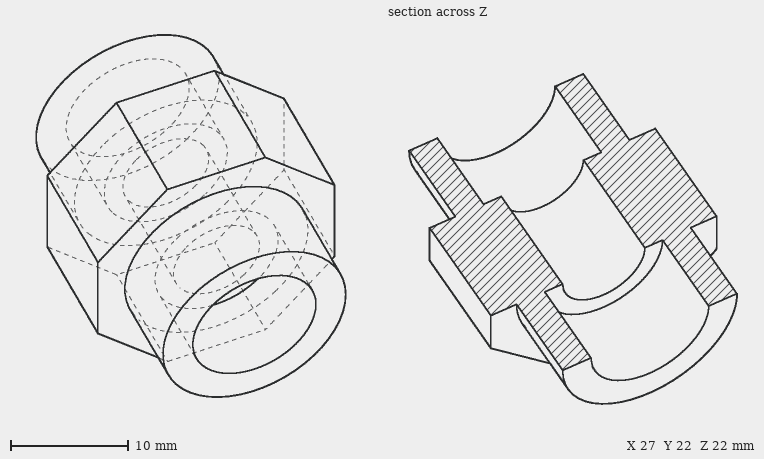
import cadquery as cq
import math

total_length = 27.0
nut_length = 10.8
nut_across_flats = 22.0
sleeve_diameter = 17.0
socket_diameter = 11.45
socket_depth = 8.1
bore_diameter = 8.0

NUT_SIDES = 8
nut_across_corners = nut_across_flats / math.cos(math.pi / NUT_SIDES)
flat_alignment_angle = 180 / NUT_SIDES


def cylinder_along_x(diameter, start_x, length):
    """Solid cylinder on the X axis, starting at start_x."""
    return cq.Workplane("YZ", origin=(start_x, 0, 0)).circle(diameter / 2).extrude(length)


def octagonal_nut():
    """Centred octagonal prism with flats facing Y and Z."""
    return (
        cq.Workplane("YZ")
        .polygon(NUT_SIDES, nut_across_corners)
        .extrude(nut_length / 2, both=True)
        .rotate((0, 0, 0), (1, 0, 0), flat_alignment_angle)
    )


end_x = total_length / 2
body = cylinder_along_x(sleeve_diameter, -end_x, total_length).union(octagonal_nut())

body = body.cut(cylinder_along_x(bore_diameter, -end_x, total_length))
for socket_start_x in (-end_x, end_x - socket_depth):
    body = body.cut(cylinder_along_x(socket_diameter, socket_start_x, socket_depth))

result = body